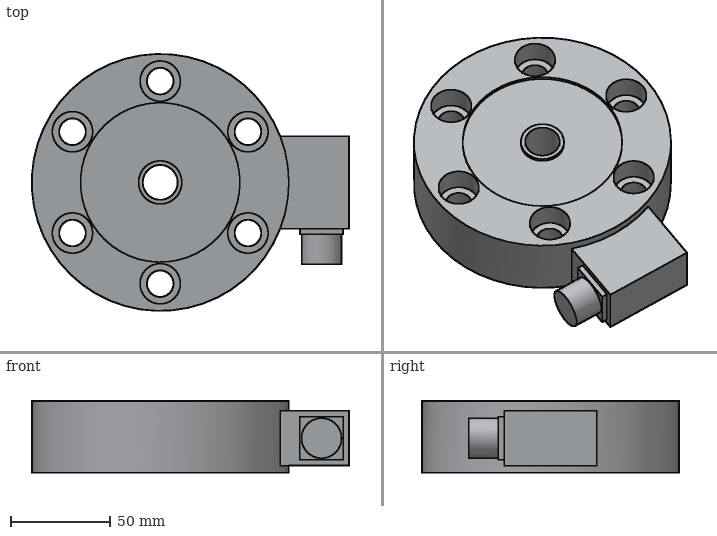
import cadquery as cq

body_diameter = 129.4
body_height = 36.3

recess_diameter = 80.2
recess_depth = 1.6
boss_diameter = 21.7
boss_height = 1.6
bore_diameter = 17.4

bolt_count = 6
bolt_circle_diameter = 101.9
bolt_hole_diameter = 13.3
counterbore_diameter = 20.3
counterbore_depth = 13.5

overall_length = 159.7
housing_end_x = overall_length - body_diameter / 2
housing_start_x = 55.9
housing_width = 46.6
housing_height = 27.6
housing_base_z = 3.7

flange_size = 21.7
flange_thickness = 2.9
plug_diameter = 20.1
plug_length = 15.0
connector_x = 81.1
connector_z = housing_base_z + housing_height / 2


def make_body():
    """Disc with the recess, raised boss and central bore."""
    disc = cq.Workplane("XY").circle(body_diameter / 2).extrude(body_height)
    recess = (
        cq.Workplane("XY", origin=(0, 0, body_height))
        .circle(recess_diameter / 2)
        .extrude(-recess_depth)
    )
    boss = (
        cq.Workplane("XY", origin=(0, 0, body_height - recess_depth))
        .circle(boss_diameter / 2)
        .extrude(boss_height)
    )
    return disc.cut(recess).union(boss).faces("<Z").workplane().hole(bore_diameter)


def make_housing():
    """Block that runs into the side of the disc."""
    return cq.Workplane("XY").box(
        housing_end_x - housing_start_x, housing_width, housing_height,
        centered=(False, True, False),
    ).translate((housing_start_x, 0, housing_base_z))


def make_connector():
    """Square flange with a round plug, pointing along -Y."""
    return (
        cq.Workplane("XZ", origin=(connector_x, -housing_width / 2, connector_z))
        .rect(flange_size, flange_size)
        .extrude(flange_thickness)
        .faces("<Y")
        .workplane()
        .circle(plug_diameter / 2)
        .extrude(plug_length)
    )


def add_bolt_holes(part):
    """Counterbored through holes, the first one on the +Y axis."""
    return (
        cq.Workplane("XY", origin=(0, 0, body_height))
        .add(part)
        .polarArray(bolt_circle_diameter / 2, 90, 360, bolt_count)
        .cboreHole(bolt_hole_diameter, counterbore_diameter, counterbore_depth)
    )


result = add_bolt_holes(make_body().union(make_housing()).union(make_connector()))